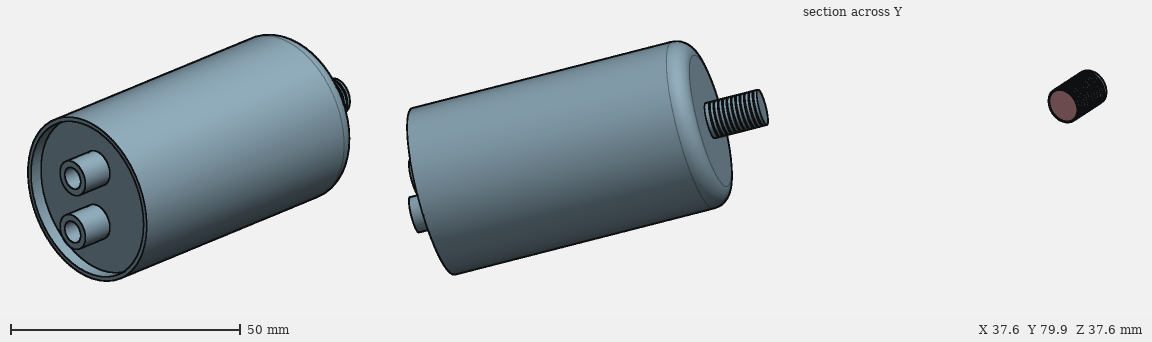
import cadquery as cq

can_diameter = 37.6
can_length = 63.5
can_wall = 1.0
can_edge_radius = 4.0
recess_depth = 3.0

terminal_diameter = 8.0
terminal_bore_diameter = 5.0
terminal_spacing = 13.0
terminal_protrusion = 4.4
terminal_length = recess_depth + terminal_protrusion

stud_diameter = 8.0
stud_length = 12.0
thread_pitch = 1.0
groove_width = 0.2
groove_depth = 0.25

stud_start = can_length


def cylinder_along_y(diameter, start, length, z=0.0):
    """Cylinder parallel to Y that starts at Y = start and runs towards +Y."""
    base = cq.Plane(origin=(0, start, z), xDir=(1, 0, 0), normal=(0, 1, 0))
    return cq.Workplane(base).circle(diameter / 2).extrude(length)


def make_can():
    can = cylinder_along_y(can_diameter, 0, can_length)
    can = can.faces(">Y").edges().fillet(can_edge_radius)
    recess = cylinder_along_y(can_diameter - 2 * can_wall, 0, recess_depth)
    return can.cut(recess)


def make_terminal(z):
    tube = cylinder_along_y(terminal_diameter, -terminal_protrusion, terminal_length, z)
    bore = cylinder_along_y(terminal_bore_diameter, -terminal_protrusion, terminal_length, z)
    return tube.cut(bore)


def make_stud():
    stud = cylinder_along_y(stud_diameter, stud_start, stud_length)
    groove_count = round(stud_length / thread_pitch) - 1
    for index in range(1, groove_count + 1):
        groove_start = stud_start + index * thread_pitch
        ring = cylinder_along_y(stud_diameter, groove_start, groove_width)
        core = cylinder_along_y(stud_diameter - 2 * groove_depth, groove_start, groove_width)
        stud = stud.cut(ring.cut(core))
    return stud


can = make_can()
stud = make_stud()
terminals = [make_terminal(side * terminal_spacing / 2) for side in (-1, 1)]

result = cq.Compound.makeCompound(
    [can.val(), stud.val(), *[terminal.val() for terminal in terminals]]
)